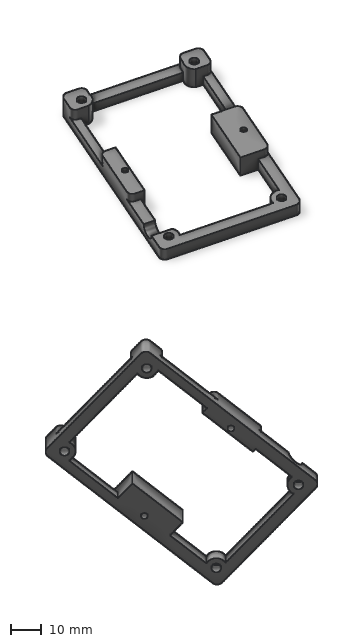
import cadquery as cq

length = 76.0
width = 51.0
height = 8.5

low_height = 3.9
rail_height = 4.95
end_rail = 4.0
low_back_rail = 3.4
low_front_rail = 3.2
right_side_rail = 4.2
corner_radius = 2.1

screw_inset = 5.0
screw_diameter = 3.2
boss_radius = 3.65
pad_size = 8.5
pad_inner_radius = 3.5
raised_corner_radius = 2.0

block_left = 29.65
block_length = 22.0
back_block_depth = 10.65
front_block_depth = 5.55
pin_x = 40.5
back_pin_inset = 4.1
front_pin_inset = 3.7
pin_diameter = 2.2

groove_x = 65.35
groove_radius = 3.0
groove_length = 9.1


def block(x, y, size_x, size_y, size_z):
    """Box standing on the base plane with its left front corner at (x, y)."""
    return cq.Workplane("XY").box(size_x, size_y, size_z, centered=False).translate((x, y, 0))


def make_rails():
    """Rectangular frame, stepped in height and rail width at the middle blocks."""
    step_x = block_left + block_length / 2
    low_opening_depth = width - low_front_rail - low_back_rail
    right_opening_depth = width - 2 * right_side_rail
    outline = block(0, 0, length, width, rail_height).edges("|Z").fillet(corner_radius)
    upper_left = block(0, 0, step_x, width, rail_height).translate((0, 0, low_height))
    low_opening = block(end_rail, low_front_rail, step_x - end_rail, low_opening_depth, height)
    right_opening = block(
        step_x, right_side_rail, length - end_rail - step_x, right_opening_depth, height
    )
    return outline.cut(upper_left).cut(low_opening).cut(right_opening)


def boss(x, y, boss_height):
    return cq.Workplane("XY").center(x, y).circle(boss_radius).extrude(boss_height)


def make_left_post():
    """Tall rounded post at the left front corner."""
    pad = block(0, 0, pad_size, pad_size, height)
    pad = pad.edges("|Z and <X and <Y").fillet(corner_radius)
    pad = pad.edges("|Z and ((<X and >Y) or (>X and <Y))").fillet(raised_corner_radius)
    pad = pad.edges("|Z and >X and >Y").fillet(pad_inner_radius)
    foot_x = block(corner_radius, 0, pad_size - corner_radius, low_front_rail, low_height)
    foot_y = block(0, corner_radius, end_rail, pad_size - corner_radius, low_height)
    trim = block(0, 0, pad_size, 2 * pad_size, height)
    round_boss = boss(screw_inset, screw_inset, height).intersect(trim)
    return pad.union(foot_x).union(foot_y).union(round_boss)


def make_middle_block(depth):
    """Block at the front edge, with its two outer corners rounded."""
    body = block(block_left, 0, block_length, depth, height)
    return body.edges("|Z and <Y").fillet(raised_corner_radius)


def to_back(shape):
    """Mirror a front feature to the back edge."""
    return shape.mirror("XZ").translate((0, width, 0))


def drill(points, diameter):
    return cq.Workplane("XY").pushPoints(points).circle(diameter / 2).extrude(height)


left_post = make_left_post()
frame = make_rails().union(left_post).union(to_back(left_post))
frame = frame.union(make_middle_block(front_block_depth))
frame = frame.union(to_back(make_middle_block(back_block_depth)))

right_screw_x = length - screw_inset
back_screw_y = width - screw_inset
for screw_y in (screw_inset, back_screw_y):
    frame = frame.union(boss(right_screw_x, screw_y, rail_height))

groove = (
    cq.Workplane("XZ")
    .center(groove_x, rail_height)
    .circle(groove_radius)
    .extrude(-groove_length)
)
screw_points = [(x, y) for x in (screw_inset, right_screw_x) for y in (screw_inset, back_screw_y)]
pin_points = [(pin_x, front_pin_inset), (pin_x, width - back_pin_inset)]

frame = frame.cut(groove)
frame = frame.cut(drill(screw_points, screw_diameter))
result = frame.cut(drill(pin_points, pin_diameter))